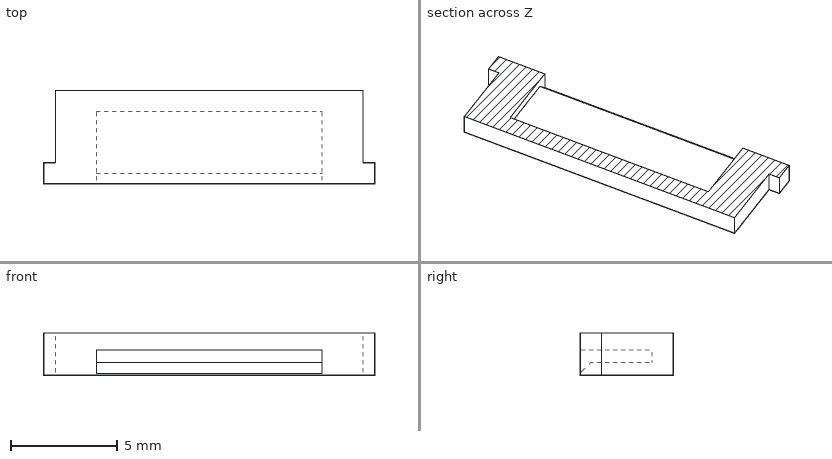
import cadquery as cq

flange_width = 15.6
total_depth = 4.4
height = 2.0

flange_depth = 1.0
side_step = 0.55
body_width = flange_width - 2 * side_step

slot_width = 10.6
slot_top = 1.2
slot_floor = 0.6
slot_depth = 3.4
ramp_bottom = 0.1
ramp_depth = slot_floor - ramp_bottom

front_y = -total_depth / 2


def make_housing():
    """T-shaped block: wide front flange with a narrower body behind it."""
    flange = (
        cq.Workplane("XY")
        .box(flange_width, flange_depth, height, centered=(True, False, False))
        .translate((0, front_y, 0))
    )
    body = cq.Workplane("XY").box(body_width, total_depth, height, centered=(True, True, False))
    return flange.union(body)


def make_slot():
    """Slot volume: side profile in YZ, swept across the slot width."""
    return (
        cq.Workplane("YZ")
        .moveTo(front_y, ramp_bottom)
        .lineTo(front_y + ramp_depth, slot_floor)
        .lineTo(front_y + slot_depth, slot_floor)
        .lineTo(front_y + slot_depth, slot_top)
        .lineTo(front_y, slot_top)
        .close()
        .extrude(slot_width / 2, both=True)
    )


result = make_housing().cut(make_slot())